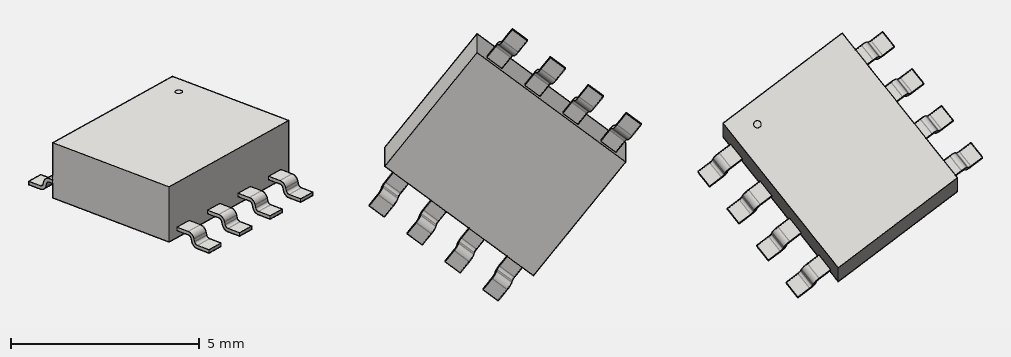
import cadquery as cq
import math

span = 6.2
height = 1.75

lead_thickness = 0.105
lead_width = 0.51
lead_pitch = 1.27
leads_per_side = 4
shoulder_top = 0.415
foot_length = 0.395
inner_radius = 0.1
bend_angle = 75.0
outer_radius = inner_radius + lead_thickness

housing_width = 4.0
housing_length = 4.98
standoff = 0.1

marker_diameter = 0.2
marker_depth = 0.1
marker_inset = 0.7

first_lead_y = lead_pitch * (leads_per_side - 1) / 2
marker_x = marker_inset - housing_width / 2
marker_y = first_lead_y


def make_marker():
    """Round disc set into the top face beside the first lead."""
    return (
        cq.Workplane("XY", origin=(marker_x, marker_y, height - marker_depth))
        .circle(marker_diameter / 2)
        .extrude(marker_depth)
    )


def make_housing(marker):
    """Plain block with a recess that holds the marker."""
    block = cq.Workplane("XY", origin=(0, 0, standoff)).box(
        housing_width, housing_length, height - standoff, centered=(True, True, False)
    )
    return block.cut(marker)


def arc_point(center, radius, degrees):
    """Point on a circle, with the angle measured from +X toward +Z."""
    angle = math.radians(degrees)
    return (center[0] + radius * math.cos(angle), center[1] + radius * math.sin(angle))


def make_lead(y):
    """Gull-wing lead on the -X side, centred on y and butted against the housing."""
    toe_x = -span / 2
    root_x = -housing_width / 2
    slope = math.radians(bend_angle)

    bend_reach = (inner_radius + outer_radius) * math.sin(slope)
    bend_rise = (inner_radius + outer_radius) * (1 - math.cos(slope))
    leg_rise = shoulder_top - lead_thickness - bend_rise
    leg_reach = leg_rise / math.tan(slope)

    lower_center = (toe_x + foot_length, lead_thickness + inner_radius)
    upper_center = (lower_center[0] + bend_reach + leg_reach, shoulder_top - outer_radius)

    lower_end = -90 + bend_angle
    lower_mid = -90 + bend_angle / 2
    upper_start = 90 + bend_angle
    upper_mid = 90 + bend_angle / 2

    profile = (
        cq.Workplane("XZ", origin=(0, y, 0))
        .moveTo(toe_x, 0)
        .lineTo(lower_center[0], 0)
        .threePointArc(
            arc_point(lower_center, outer_radius, lower_mid),
            arc_point(lower_center, outer_radius, lower_end),
        )
        .lineTo(*arc_point(upper_center, inner_radius, upper_start))
        .threePointArc(
            arc_point(upper_center, inner_radius, upper_mid),
            arc_point(upper_center, inner_radius, 90),
        )
        .lineTo(root_x, shoulder_top - lead_thickness)
        .lineTo(root_x, shoulder_top)
        .lineTo(upper_center[0], shoulder_top)
        .threePointArc(
            arc_point(upper_center, outer_radius, upper_mid),
            arc_point(upper_center, outer_radius, upper_start),
        )
        .lineTo(*arc_point(lower_center, inner_radius, lower_end))
        .threePointArc(
            arc_point(lower_center, inner_radius, lower_mid),
            arc_point(lower_center, inner_radius, -90),
        )
        .lineTo(toe_x, lead_thickness)
        .close()
    )
    return profile.extrude(lead_width / 2, both=True)


marker = make_marker()
housing = make_housing(marker)

leads = []
for row in range(leads_per_side):
    left_lead = make_lead(first_lead_y - row * lead_pitch)
    leads.append(left_lead.val())
    leads.append(left_lead.mirror("YZ").val())

result = cq.Compound.makeCompound([housing.val(), marker.val(), *leads])